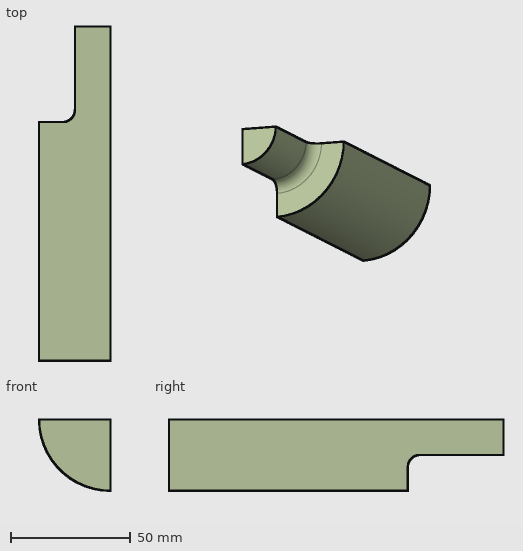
import cadquery as cq

body_radius = 30.0
body_length = 100.0
neck_radius = 15.0
neck_length = 40.0
fillet_radius = 5.0
sweep_angle = 90.0

total_length = body_length + neck_length


def radial_profile():
    """Radial section in the XY plane, from the axis out to -X, with the shoulder fillet."""
    return (
        cq.Workplane("XY")
        .moveTo(0, 0)
        .lineTo(-body_radius, 0)
        .lineTo(-body_radius, body_length)
        .lineTo(-neck_radius - fillet_radius, body_length)
        .radiusArc((-neck_radius, body_length + fillet_radius), -fillet_radius)
        .lineTo(-neck_radius, total_length)
        .lineTo(0, total_length)
        .close()
    )


result = radial_profile().revolve(sweep_angle, (0, 0, 0), (0, -1, 0))